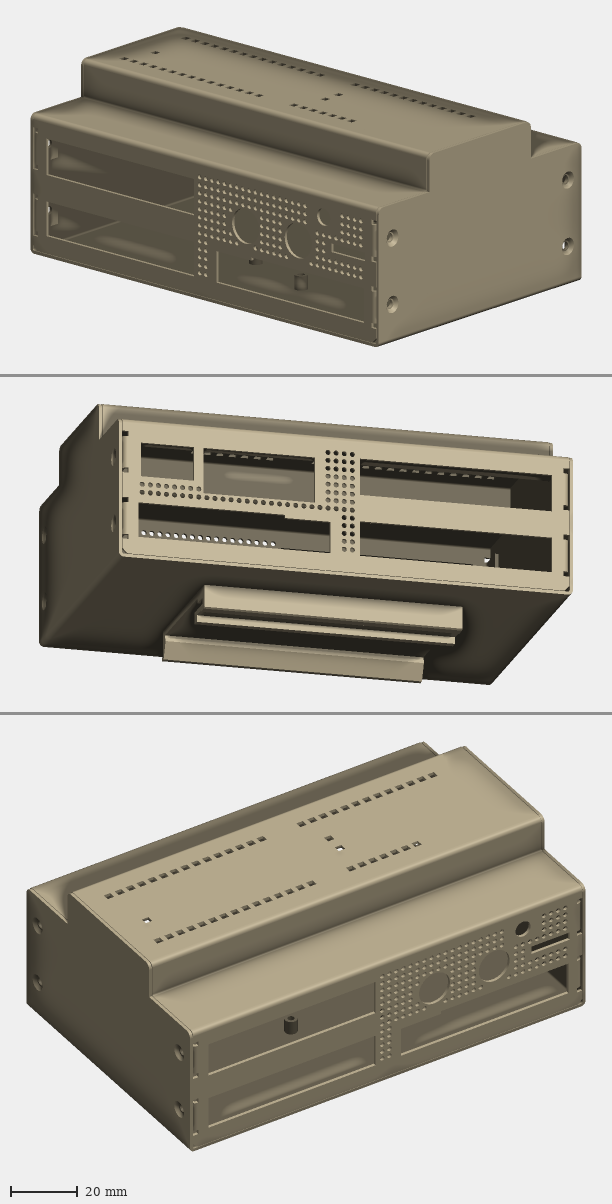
import cadquery as cq
WIDTH = 140.6
DEPTH = 90
SHOULDER_HEIGHT = 43.6
TOP_HEIGHT = 55.4
TOP_DEPTH = 45

SHEET = 1.0
BEND_INSIDE = 0.5
BEND_OUTSIDE = BEND_INSIDE + SHEET
FIT_GAP = 0.1
PLATE_CORNER_RADIUS = 2.0

COVER_WIDTH = WIDTH - 2 * (SHEET + FIT_GAP)
COVER_BOTTOM = SHEET + FIT_GAP
WALL_CORNER_CHAMFER = 1.5

SCREW_HEIGHTS = (12.2, 33.0)
SCREW_INSET = 6.0
SCREW_HOLE_DIAMETER = 2.5
COUNTERSINK_DIAMETER = 5.3
COUNTERSINK_BOTTOM_DIAMETER = 3.2
TAB_HEIGHT = 10.0
TAB_LENGTH = 10.0
RELIEF_DEPTH = 1.8
RELIEF_HEIGHT = 1.5

WINDOW_WIDTH = 59.5
LEFT_WINDOW_X = -63.8
RIGHT_WINDOW_X = 4.8
LOWER_WINDOW_Z = (6.6, 17.5)
UPPER_WINDOW_Z = (25.7, 37.1)
WINDOW_LEDGE_WIDTH = 14
WINDOW_LEDGE_HEIGHT = 1.0

ROUND_PORT_DIAMETER = 11.0
ROUND_PORT_XS = (16.6, 37.8)
ROUND_PORT_Z = 26.7
JACK_DIAMETER = 5.3
JACK_X = 48.1
JACK_Z = 36.3
CARD_SLOT_X = (51.2, 64.7)
CARD_SLOT_Z = (26.0, 28.7)

BACK_PORT_TOP = 36.3
WIDE_PORT_X = (9.5, 44.2)
WIDE_PORT_BOTTOM = 22.1
NARROW_PORT_X = (47.1, 63.4)
NARROW_PORT_BOTTOM = 25.7

VENT_DIAMETER = 1.5
VENT_PITCH = 2.5
FIRST_VENT_X = -2.0
FIRST_VENT_Z = 38.2
FRONT_VENT_ROWS = (
    [((1, 18), (24, 27))] * 3
    + [((1, 6), (11, 14), (20, 27))]
    + [((1, 5), (11, 14), (20, 21))] * 2
    + [((1, 6), (11, 14), (20, 27))]
    + [((1, 7), (10, 15), (19, 27))]
    + [((1, 2),)] * 5
)
BACK_VENT_ROWS = (
    [((1, 4),)] * 6
    + [((1, 4), (20, 27))]
    + [((1, 27),)]
    + [((1, 2),)] * 5
)

LAMP_SIZE = 2.2
LAMP_PITCH = 3.88
LAMP_LEFT_X = -61.2
LAMP_RIGHT_X = 7.3
LAMP_ROWS = (
    (LAMP_LEFT_X, 13.8, 15),
    (LAMP_RIGHT_X, 13.8, 13),
    (LAMP_LEFT_X, -13.5, 15),
    (LAMP_RIGHT_X, -13.5, 7),
)
SINGLE_LAMPS = ((-58.4, -2.8), (10.3, -2.8), (10.3, 3.1))
BUTTON_HOLE_DIAMETER = 2.0
BUTTON_HOLE_PLACE = (5.3, 30.0)

STANDOFF_DIAMETER = 4.1
STANDOFF_BORE = 2.1
STANDOFF_HEIGHT = 4.5
STANDOFF_PLACES = ((-11.5, -9.5), (15.6, -19.3))

CLIP_WIDTH = 80.0
CLIP_CENTER_X = -1.5
CLIP_BOTTOM = -9.0


def box_between(x_range, y_range, z_range):
    """A box given by its two limits along each axis."""
    limits = (x_range, y_range, z_range)
    sizes = [high - low for low, high in limits]
    corner = [low for low, high in limits]
    return cq.Workplane().box(*sizes, centered=False).translate(tuple(corner))


def stepped_prism(width, bottom, inset, crest_radius, step_radius=0):
    """The stepped housing outline, drawn in by an inset and extended along X about the middle."""
    half_width = width / 2
    half_top = TOP_DEPTH / 2 - inset
    half_depth = DEPTH / 2 - inset
    shoulder = SHOULDER_HEIGHT - inset
    top = TOP_HEIGHT - inset
    x_range = (-half_width, half_width)
    lower = box_between(x_range, (-half_depth, half_depth), (bottom, shoulder))
    raised = box_between(x_range, (-half_top, half_top), (bottom, top))
    lower = lower.edges("|X and >Z").fillet(crest_radius)
    raised = raised.edges("|X and >Z").fillet(crest_radius)
    prism = lower.union(raised)
    if step_radius:
        reach = half_top + SHEET / 2
        step_edges = cq.selectors.BoxSelector(
            (-width, -reach, shoulder - SHEET / 2), (width, reach, shoulder + SHEET / 2)
        )
        prism = prism.edges("|X").edges(step_edges).fillet(step_radius)
    return prism


def wall_y_range(side):
    """The depth range of the front (side -1) or the back (side 1) cover wall, for through cuts."""
    outer = side * (DEPTH / 2 + SHEET)
    inner = side * (DEPTH / 2 - 2 * SHEET)
    return (min(outer, inner), max(outer, inner))


def round_wall_cutter(diameter, x, z):
    """A cylinder through the front wall."""
    low_y, high_y = wall_y_range(-1)
    return cq.Workplane("XZ", origin=(x, high_y, z)).circle(diameter / 2).extrude(high_y - low_y)


def terminal_windows(side):
    """Cutters for two left windows and the lower right one, which has a ledge at its upper left."""
    y_range = wall_y_range(side)
    left = (LEFT_WINDOW_X, LEFT_WINDOW_X + WINDOW_WIDTH)
    right = (RIGHT_WINDOW_X, RIGHT_WINDOW_X + WINDOW_WIDTH)
    lower_top = LOWER_WINDOW_Z[1]
    ledge = box_between(
        (right[0], right[0] + WINDOW_LEDGE_WIDTH), y_range, (lower_top - WINDOW_LEDGE_HEIGHT, lower_top)
    )
    windows = box_between(left, y_range, LOWER_WINDOW_Z)
    windows = windows.union(box_between(left, y_range, UPPER_WINDOW_Z))
    return windows.union(box_between(right, y_range, LOWER_WINDOW_Z).cut(ledge))


def vent_cutters(rows, side):
    """Cutters for the round vent holes of one wall."""
    points = []
    for row, runs in enumerate(rows):
        z = FIRST_VENT_Z - row * VENT_PITCH
        for first, last in runs:
            for column in range(first, last + 1):
                points.append((FIRST_VENT_X + (column - 1) * VENT_PITCH, z))
    low_y, high_y = wall_y_range(side)
    return (
        cq.Workplane("XZ", origin=(0, high_y, 0))
        .pushPoints(points)
        .circle(VENT_DIAMETER / 2)
        .extrude(high_y - low_y)
    )


def front_openings():
    """Cutters for the front wall's windows, vents and connector openings."""
    cutters = [terminal_windows(-1), vent_cutters(FRONT_VENT_ROWS, -1)]
    for x in ROUND_PORT_XS:
        cutters.append(round_wall_cutter(ROUND_PORT_DIAMETER, x, ROUND_PORT_Z))
    cutters.append(round_wall_cutter(JACK_DIAMETER, JACK_X, JACK_Z))
    cutters.append(box_between(CARD_SLOT_X, wall_y_range(-1), CARD_SLOT_Z))
    return cutters


def back_openings():
    """Cutters for the back wall's windows, vents and connector openings."""
    y_range = wall_y_range(1)
    return [
        terminal_windows(1),
        vent_cutters(BACK_VENT_ROWS, 1),
        box_between(WIDE_PORT_X, y_range, (WIDE_PORT_BOTTOM, BACK_PORT_TOP)),
        box_between(NARROW_PORT_X, y_range, (NARROW_PORT_BOTTOM, BACK_PORT_TOP)),
    ]


def lamp_cutter():
    """Cutter for the lamp windows in the raised top."""
    points = list(SINGLE_LAMPS)
    for first_x, y, count in LAMP_ROWS:
        points += [(first_x + i * LAMP_PITCH, y) for i in range(count)]
    return (
        cq.Workplane("XY", origin=(0, 0, TOP_HEIGHT - 2 * SHEET))
        .pushPoints(points)
        .rect(LAMP_SIZE, LAMP_SIZE)
        .extrude(3 * SHEET)
    )


def button_hole_cutter():
    """Cutter for the small round hole in the back shoulder."""
    return (
        cq.Workplane("XY", origin=(*BUTTON_HOLE_PLACE, SHOULDER_HEIGHT - 2 * SHEET))
        .circle(BUTTON_HOLE_DIAMETER / 2)
        .extrude(3 * SHEET)
    )


def at_four_corners(body):
    """A body at the right front corner and its mirror images at the other three corners."""
    front_pair = [body, body.mirror("YZ")]
    return front_pair + [corner.mirror("XZ") for corner in front_pair]


def tab_relief(screw_z):
    """Cutter that frees the wall end around one tab at the right front corner."""
    end = COVER_WIDTH / 2
    half_height = TAB_HEIGHT / 2 + RELIEF_HEIGHT
    return box_between(
        (end - RELIEF_DEPTH, end + SHEET), wall_y_range(-1), (screw_z - half_height, screw_z + half_height)
    )


def screw_tab(screw_z):
    """A tab at the right front corner, bent back from the wall and bored for the side screw."""
    end = COVER_WIDTH / 2
    start = end - RELIEF_DEPTH
    front = -DEPTH / 2
    z_range = (screw_z - TAB_HEIGHT / 2, screw_z + TAB_HEIGHT / 2)
    tab = box_between((start, end), (front, front + TAB_LENGTH), z_range)
    tab = tab.edges("|Z and >X and <Y").fillet(BEND_OUTSIDE)
    inside = box_between((start - SHEET, end - SHEET), (front + SHEET, front + 2 * TAB_LENGTH), z_range)
    inside = inside.edges("|Z and >X and <Y").fillet(BEND_INSIDE)
    bore = (
        cq.Workplane("YZ", origin=(start, front + SCREW_INSET, screw_z))
        .circle(SCREW_HOLE_DIAMETER / 2)
        .extrude(2 * RELIEF_DEPTH)
    )
    return tab.cut(inside).cut(bore)


def make_cover():
    """The stepped cover with its front and back walls, open at the bottom and at both ends."""
    outer = stepped_prism(COVER_WIDTH, COVER_BOTTOM, 0, BEND_OUTSIDE, BEND_INSIDE)
    outer = outer.edges("|Y and <Z").chamfer(WALL_CORNER_CHAMFER)
    hollow = stepped_prism(COVER_WIDTH + SHEET, COVER_BOTTOM - SHEET, SHEET, BEND_INSIDE, BEND_OUTSIDE)
    cover = outer.cut(hollow)
    for cutter in front_openings() + back_openings() + [lamp_cutter(), button_hole_cutter()]:
        cover = cover.cut(cutter)
    for screw_z in SCREW_HEIGHTS:
        for relief in at_four_corners(tab_relief(screw_z)):
            cover = cover.cut(relief)
        for tab in at_four_corners(screw_tab(screw_z)):
            cover = cover.union(tab)
    return cover


def countersink(screw_z):
    """Cutter for a countersunk hole through the right side plate near the front."""
    hole = cq.Solid.makeCone(
        COUNTERSINK_DIAMETER / 2,
        COUNTERSINK_BOTTOM_DIAMETER / 2,
        SHEET,
        cq.Vector(WIDTH / 2, SCREW_INSET - DEPTH / 2, screw_z),
        cq.Vector(-1, 0, 0),
    )
    return cq.Workplane(hole)


def make_chassis():
    """The U-shaped chassis: a floor with both side plates bent up to the cover's outline."""
    outline = stepped_prism(WIDTH, 0, 0, PLATE_CORNER_RADIUS)
    outline = outline.edges("|Y and <Z").fillet(BEND_OUTSIDE)
    half_inside = WIDTH / 2 - SHEET
    inside = box_between((-half_inside, half_inside), (-DEPTH, DEPTH), (SHEET, 2 * TOP_HEIGHT))
    inside = inside.edges("|Y and <Z").fillet(BEND_INSIDE)
    chassis = outline.cut(inside)
    for screw_z in SCREW_HEIGHTS:
        for hole in at_four_corners(countersink(screw_z)):
            chassis = chassis.cut(hole)
    return chassis


def make_standoff(x, y):
    """A bored round standoff on the chassis floor."""
    return (
        cq.Workplane("XY", origin=(x, y, SHEET))
        .circle(STANDOFF_DIAMETER / 2)
        .circle(STANDOFF_BORE / 2)
        .extrude(STANDOFF_HEIGHT)
    )


def make_rail_clip():
    """The rail clip: a plate with a spring arm at the back and a sloped hook at the front."""
    return (
        cq.Workplane("YZ", origin=(CLIP_CENTER_X, 0, 0))
        .polyline([
            (25.3, 0),
            (25.3, -6.9),
            (24.7, -7.3),
            (21.5, -7.3),
            (21.5, -6.9),
            (16.9, -6.9),
            (16.9, CLIP_BOTTOM),
            (14.5, CLIP_BOTTOM),
            (14.5, -5.3),
            (23.3, -5.3),
            (23.3, -3.4),
            (17.5, -3.4),
            (17.5, -2.0),
            (-18.8, -2.0),
            (-18.8, -3.0),
            (-18.3, -3.0),
            (-18.3, -4.0),
            (-20.5, CLIP_BOTTOM),
            (-22.4, CLIP_BOTTOM),
            (-22.4, -7.9),
            (-21.4, -7.9),
            (-21.4, 0),
        ])
        .close()
        .extrude(CLIP_WIDTH / 2, both=True)
    )


cover = make_cover()
chassis = make_chassis()
rail_clip = make_rail_clip()
standoffs = [make_standoff(x, y) for x, y in STANDOFF_PLACES]

result = cq.Compound.makeCompound(
    [cover.val(), chassis.val(), rail_clip.val(), *[standoff.val() for standoff in standoffs]]
)